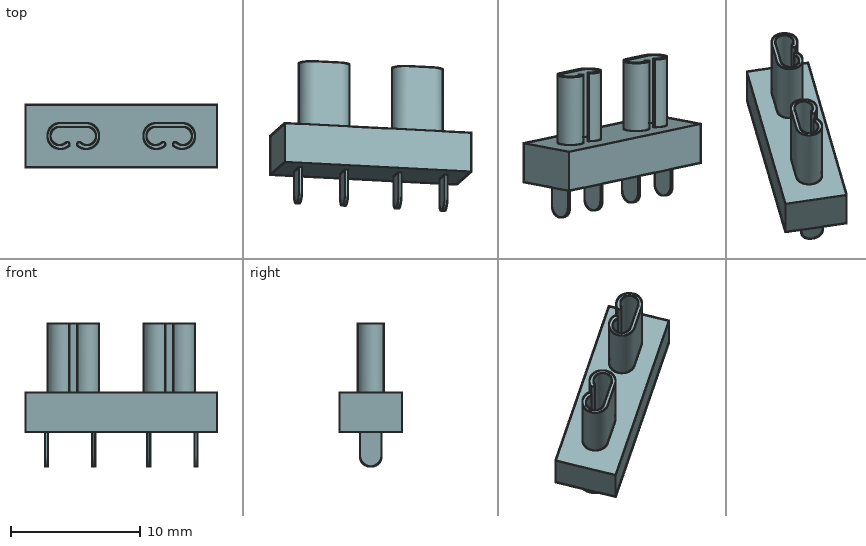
import cadquery as cq
import math

OVERALL_HEIGHT = 11.08

BLOCK_LENGTH = 14.82
BLOCK_WIDTH = 4.84
BLOCK_HEIGHT = 3.08

SLEEVE_LENGTH = 4.0
SLEEVE_WIDTH = 2.01
SLEEVE_HEIGHT = 5.34
BACK_WALL = 0.3
END_WALL = 0.24
LIP_CROWN = 0.11
SLEEVE_OFFSET = BLOCK_LENGTH / 4

LIP_OUTER_ANGLE = 47.5
LIP_INNER_ANGLE = 41.0
END_ANGLE = 180.0
BACK_ANGLE = 270.0

TAIL_THICKNESS = 0.25
TAIL_WIDTH = 1.7
TAIL_LENGTH = OVERALL_HEIGHT - BLOCK_HEIGHT - SLEEVE_HEIGHT
TAIL_OUTER_OFFSET = 5.78
TAIL_INNER_OFFSET = 2.12


def make_block():
    return cq.Workplane("XY").box(
        BLOCK_LENGTH, BLOCK_WIDTH, BLOCK_HEIGHT, centered=(True, True, False)
    )


def make_sleeve(x_center):
    """C-shaped sleeve: a flat back, two round curls and a front slot between crowned lips."""
    outer_radius = SLEEVE_WIDTH / 2
    inner_radius = outer_radius - BACK_WALL
    outer_center = SLEEVE_LENGTH / 2 - outer_radius
    inner_center = SLEEVE_LENGTH / 2 - END_WALL - inner_radius

    def on_curl(side, center, radius, degrees):
        """Point on a curl of one side (-1 left, +1 right); 0 faces the slot, 90 the front."""
        angle = math.radians(degrees)
        x = side * (center - radius * math.cos(angle))
        return (x_center + x, -radius * math.sin(angle))

    def outer(side, degrees):
        return on_curl(side, outer_center, outer_radius, degrees)

    def inner(side, degrees):
        return on_curl(side, inner_center, inner_radius, degrees)

    def lip_tip(side):
        """Crown point of the lip, raised square off the middle of its end chord."""
        outer_x, outer_y = outer(side, LIP_OUTER_ANGLE)
        inner_x, inner_y = inner(side, LIP_INNER_ANGLE)
        chord_x = inner_x - outer_x
        chord_y = inner_y - outer_y
        rise = LIP_CROWN / math.hypot(chord_x, chord_y)
        tip_x = (outer_x + inner_x) / 2 - side * rise * chord_y
        tip_y = (outer_y + inner_y) / 2 + side * rise * chord_x
        return (tip_x, tip_y)

    profile = (
        cq.Workplane("XY", origin=(0, 0, BLOCK_HEIGHT))
        .moveTo(*outer(-1, LIP_OUTER_ANGLE))
        .threePointArc(outer(-1, END_ANGLE), outer(-1, BACK_ANGLE))
        .lineTo(*outer(1, BACK_ANGLE))
        .threePointArc(outer(1, END_ANGLE), outer(1, LIP_OUTER_ANGLE))
        .threePointArc(lip_tip(1), inner(1, LIP_INNER_ANGLE))
        .threePointArc(inner(1, END_ANGLE), inner(1, BACK_ANGLE))
        .lineTo(*inner(-1, BACK_ANGLE))
        .threePointArc(inner(-1, END_ANGLE), inner(-1, LIP_INNER_ANGLE))
        .threePointArc(lip_tip(-1), outer(-1, LIP_OUTER_ANGLE))
        .close()
    )
    return profile.extrude(SLEEVE_HEIGHT)


def make_tail(x_center):
    """Thin blade hanging from the block underside, ending in a full half-round."""
    half_width = TAIL_WIDTH / 2
    round_start = half_width - TAIL_LENGTH
    return (
        cq.Workplane("YZ", origin=(x_center - TAIL_THICKNESS / 2, 0, 0))
        .moveTo(-half_width, 0)
        .lineTo(-half_width, round_start)
        .threePointArc((0, -TAIL_LENGTH), (half_width, round_start))
        .lineTo(half_width, 0)
        .close()
        .extrude(TAIL_THICKNESS)
    )


result = make_block()
for side in (-1, 1):
    result = result.union(make_sleeve(side * SLEEVE_OFFSET))
    for tail_offset in (TAIL_INNER_OFFSET, TAIL_OUTER_OFFSET):
        result = result.union(make_tail(side * tail_offset))